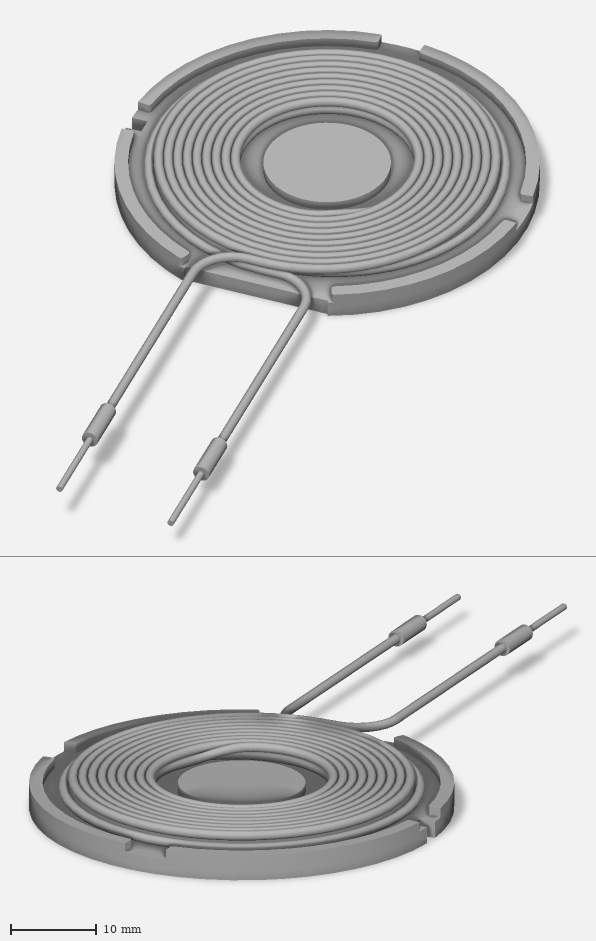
import cadquery as cq
import math

plate_radius = 25.0
floor_height = 2.0
rim_height = 3.15
rim_inner_radius = 23.4
rim_corner_radius = 0.4
small_gap_half_angle = 6.2
lead_gap_half_angle = 22.25
boss_radius = 7.5

flat_distance = 23.0
flat_half_width = 9.0
slot_width = 2.0
slot_bottom_distance = 23.0

wire_diameter = 1.12
wire_radius = wire_diameter / 2
clearance = 0.01
pitch = wire_diameter + clearance
turn_count = 10
inner_turn_radius = 10.8
outer_turn_radius = inner_turn_radius + (turn_count - 1) * pitch
lower_z = floor_height + clearance + wire_radius
upper_z = lower_z + pitch
climb_start = 0.25
climb_end = 0.75
quarter_steps = 12
climb_dip = 0.4 * pitch

lead_offset = 7.0
lead_bend_radius = 5.0
sleeve_start_y = -53.5
sleeve_length = 6.0
sleeve_diameter = 2.0
tip_length = 10.0
tip_diameter = 0.8


def polar(radius, degrees, z):
    angle = math.radians(degrees)
    return cq.Vector(radius * math.cos(angle), radius * math.sin(angle), z)


def gap_wedge(centre_angle, half_angle):
    """Wedge from the plate centre, above the floor, that opens one gap in the rim."""
    half_width = plate_radius * math.tan(math.radians(half_angle))
    return (
        cq.Workplane("XY", origin=(0, 0, floor_height))
        .lineTo(plate_radius, -half_width)
        .lineTo(plate_radius, half_width)
        .close()
        .extrude(rim_height - floor_height)
        .rotate((0, 0, 0), (0, 0, 1), centre_angle)
    )


def make_base():
    plate = cq.Workplane("XY").circle(plate_radius).extrude(rim_height)
    recess = (
        cq.Workplane("XY", origin=(0, 0, floor_height))
        .circle(rim_inner_radius)
        .extrude(rim_height - floor_height)
    )
    plate = plate.cut(recess)
    for centre_angle in (0, 90, 180):
        plate = plate.cut(gap_wedge(centre_angle, small_gap_half_angle))
    plate = plate.cut(gap_wedge(270, lead_gap_half_angle))
    inner_corners = cq.selectors.BoxSelector(
        (-rim_inner_radius, -rim_inner_radius, 0), (rim_inner_radius, rim_inner_radius, rim_height)
    )
    plate = plate.edges("|Z").edges(inner_corners).fillet(rim_corner_radius)

    boss = cq.Workplane("XY").circle(boss_radius).extrude(rim_height)
    flat = cq.Workplane("XY").box(
        2 * flat_half_width, plate_radius, rim_height, centered=(True, False, False)
    ).translate((0, -flat_distance - plate_radius, 0))
    slot = cq.Workplane("XY").box(
        plate_radius, slot_width, rim_height, centered=(False, True, False)
    ).translate((-slot_bottom_distance - plate_radius, 0, 0))
    return plate.union(boss).cut(flat).cut(slot)


def smooth_step(t):
    t = min(max(t, 0), 1)
    return t * t * (3 - 2 * t)


def turn_arc(radius, z):
    return cq.Edge.makeThreePointArc(
        polar(radius, 270, z), polar(radius, 135, z), polar(radius, 0, z)
    )


def quarter_curve(radius_at, z_at):
    """Curve from +X to -Y whose radius and height follow two functions of 0..1."""
    fractions = [i / quarter_steps for i in range(quarter_steps + 1)]
    points = [polar(radius_at(t), -90 * t, z_at(t)) for t in fractions]
    start_speed = radius_at(0) * math.pi / 2
    end_speed = radius_at(1) * math.pi / 2
    tangents = [cq.Vector(0, -start_speed, 0), cq.Vector(-end_speed, 0, 0)]
    return cq.Edge.makeSpline(points, tangents=tangents, parameters=fractions, scale=False)


def shift_curve(start_radius, end_radius, z):
    """Quarter turn that moves the wire sideways to the neighbouring turn of its layer."""

    def radius_at(t):
        return start_radius + (end_radius - start_radius) * smooth_step(t)

    def z_at(_):
        return z

    return quarter_curve(radius_at, z_at)


def climb_curve():
    """Innermost quarter: rises to the upper layer and bulges inward past its neighbours."""

    def radius_at(t):
        return inner_turn_radius - climb_dip * math.sin(math.pi * t) ** 2

    def z_at(t):
        rise = smooth_step((t - climb_start) / (climb_end - climb_start))
        return lower_z + (upper_z - lower_z) * rise

    return quarter_curve(radius_at, z_at)


def lead_edges(side, z):
    """Edges from the coil at -Y out to the sleeve; side is -1 or +1 along X."""
    bend_start_x = lead_offset - lead_bend_radius
    bend_centre_y = -outer_turn_radius - lead_bend_radius
    diagonal = lead_bend_radius * math.sqrt(0.5)
    coil_end = cq.Vector(0, -outer_turn_radius, z)
    bend_start = cq.Vector(side * bend_start_x, -outer_turn_radius, z)
    bend_middle = cq.Vector(side * (bend_start_x + diagonal), bend_centre_y + diagonal, z)
    bend_end = cq.Vector(side * lead_offset, bend_centre_y, z)
    sleeve_start = cq.Vector(side * lead_offset, sleeve_start_y, z)
    return [
        cq.Edge.makeLine(coil_end, bend_start),
        cq.Edge.makeThreePointArc(bend_start, bend_middle, bend_end),
        cq.Edge.makeLine(bend_end, sleeve_start),
    ]


def coil_path():
    radii = [inner_turn_radius + i * pitch for i in range(turn_count)]
    edges = lead_edges(1, lower_z)
    for i in range(turn_count - 1, 0, -1):
        edges.append(turn_arc(radii[i], lower_z))
        edges.append(shift_curve(radii[i], radii[i - 1], lower_z))
    edges.append(turn_arc(inner_turn_radius, lower_z))
    edges.append(climb_curve())
    for i in range(turn_count - 1):
        edges.append(turn_arc(radii[i], upper_z))
        edges.append(shift_curve(radii[i], radii[i + 1], upper_z))
    edges += lead_edges(-1, upper_z)
    return cq.Wire.assembleEdges(edges)


def lead_end(side, z):
    """Crimp sleeve with the bare wire tip beyond it."""
    start = cq.Workplane("XZ", origin=(side * lead_offset, sleeve_start_y, z))
    sleeve = start.circle(sleeve_diameter / 2).extrude(sleeve_length)
    tip = start.circle(tip_diameter / 2).extrude(sleeve_length + tip_length)
    return sleeve.union(tip)


def make_coil():
    profile = cq.Workplane("XZ", origin=(lead_offset, sleeve_start_y, lower_z)).circle(wire_radius)
    wire = profile.sweep(cq.Workplane(coil_path()))
    return wire.union(lead_end(1, lower_z)).union(lead_end(-1, upper_z))


base = make_base()
coil = make_coil()

result = cq.Compound.makeCompound([*base.solids().vals(), *coil.solids().vals()])